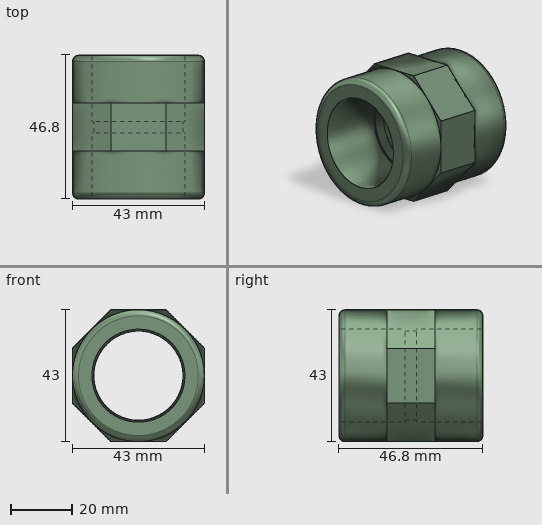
import cadquery as cq

length = 46.8
across_flats = 43.0
barrel_diameter = 42.9
rim_radius = 1.95

grip_width = length / 3
flat_count = 8

socket_diameter = 30.3
ridge_diameter = 29.0
ridge_width = 3.75
socket_depth = (length - ridge_width) / 2


def make_barrel():
    """Round sleeve body with both outer rims rounded."""
    barrel = cq.Workplane("XZ").circle(barrel_diameter / 2).extrude(length / 2, both=True)
    return barrel.faces("<Y or >Y").edges().fillet(rim_radius)


def make_grip():
    """Octagonal band with flats facing X and Z."""
    return (
        cq.Workplane("XZ")
        .polygon(flat_count, across_flats, circumscribed=True)
        .extrude(grip_width / 2, both=True)
    )


def make_bore():
    """Through hole at the ridge diameter, widened by a socket at each end."""
    bore = cq.Workplane("XZ").circle(ridge_diameter / 2).extrude(length / 2, both=True)
    for end_direction in (-1, 1):
        socket = (
            cq.Workplane("XZ", origin=(0, end_direction * length / 2, 0))
            .circle(socket_diameter / 2)
            .extrude(end_direction * socket_depth)
        )
        bore = bore.union(socket)
    return bore


result = make_barrel().union(make_grip()).cut(make_bore())